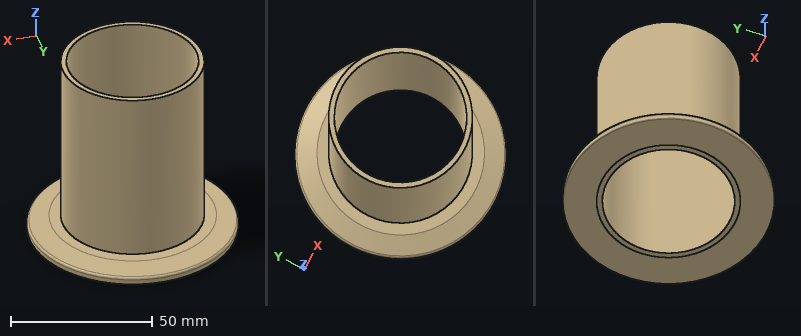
import cadquery as cq
import math

total_height = 70.0
flange_radius = 37.5
flange_height = 5.0

tube_outer_radius = 25.4
tube_inner_radius = 23.4

flat_top_radius = 29.6
slope_angle = 15.0
rim_round = 1.0
base_round = 0.2
slope_drop = (flange_radius - flat_top_radius) * math.tan(math.radians(slope_angle))
rim_height = flange_height - slope_drop


def make_flange():
    """Tapered clamp flange with a through hole that fits the tube."""
    blank = (
        cq.Workplane("XZ")
        .moveTo(0, 0)
        .lineTo(flange_radius, 0)
        .lineTo(flange_radius, rim_height)
        .lineTo(flat_top_radius, flange_height)
        .lineTo(0, flange_height)
        .close()
        .revolve(360, (0, 0, 0), (0, 1, 0))
    )
    rim_edge = cq.selectors.RadiusNthSelector(-1)
    rounded = blank.faces("<Z").edges().fillet(base_round)
    rounded = rounded.edges(rim_edge).edges(">Z").fillet(rim_round)
    tube_hole = cq.Workplane("XY").circle(tube_outer_radius).extrude(flange_height)
    return rounded.cut(tube_hole)


def make_tube():
    """Plain tube that runs through the flange, flush with its base."""
    return (
        cq.Workplane("XY")
        .circle(tube_outer_radius)
        .circle(tube_inner_radius)
        .extrude(total_height)
    )


flange = make_flange()
tube = make_tube()
result = cq.Compound.makeCompound([flange.val(), tube.val()])